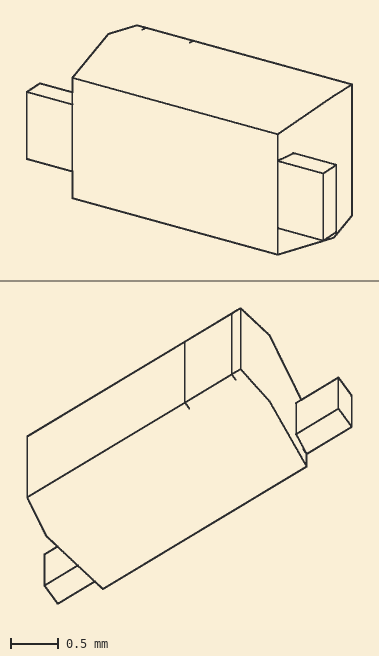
import cadquery as cq
import math

parting_length = 2.82
parting_height = 1.65
total_depth = 1.35
back_depth = 0.457
front_depth = total_depth - back_depth
draft_angle = 7.95
draft_slope = math.tan(math.radians(draft_angle))
front_length = parting_length - 2 * front_depth * draft_slope
back_height = parting_height - 2 * back_depth * draft_slope
front_y = -total_depth / 2
parting_y = front_y + front_depth
back_y = total_depth / 2

lead_span = 3.71
lead_thickness = 0.255
lead_height = 0.78

band_left_x = -1.235
band_width = 0.59
band_depth = 0.10


def tapered_half(depth, direction):
    """One half of the body, narrowing from the parting plane along direction * Y."""
    plane = cq.Plane(origin=(0, parting_y, 0), xDir=(1, 0, 0), normal=(0, direction, 0))
    outline = cq.Workplane(plane).rect(parting_length, parting_height)
    return outline.extrude(depth, taper=draft_angle)


def make_envelope():
    """Full outer shape of the body, before the leads and band are let in."""
    return tapered_half(front_depth, -1).union(tapered_half(back_depth, 1))


def make_lead(side):
    """Tab from the sloping body end outward; its inner end lines up with the body's front edge."""
    inner_x = front_length / 2
    length = lead_span / 2 - inner_x
    center_x = side * (inner_x + length / 2)
    center_y = front_y + lead_thickness / 2
    tab = cq.Workplane("XY").box(length, lead_thickness, lead_height)
    return tab.translate((center_x, center_y, 0))


def make_band():
    """Upright inlay near the -X end; the body's outward slope covers its two end faces."""
    inlay = cq.Workplane("XY").box(band_width, band_depth, back_height)
    return inlay.translate((band_left_x + band_width / 2, back_y - band_depth / 2, 0))


band = make_band()
leads = [make_lead(side) for side in (-1, 1)]

housing = make_envelope()
for inset_part in [band, *leads]:
    housing = housing.cut(inset_part)

result = cq.Compound.makeCompound([housing.val(), band.val(), *[lead.val() for lead in leads]])